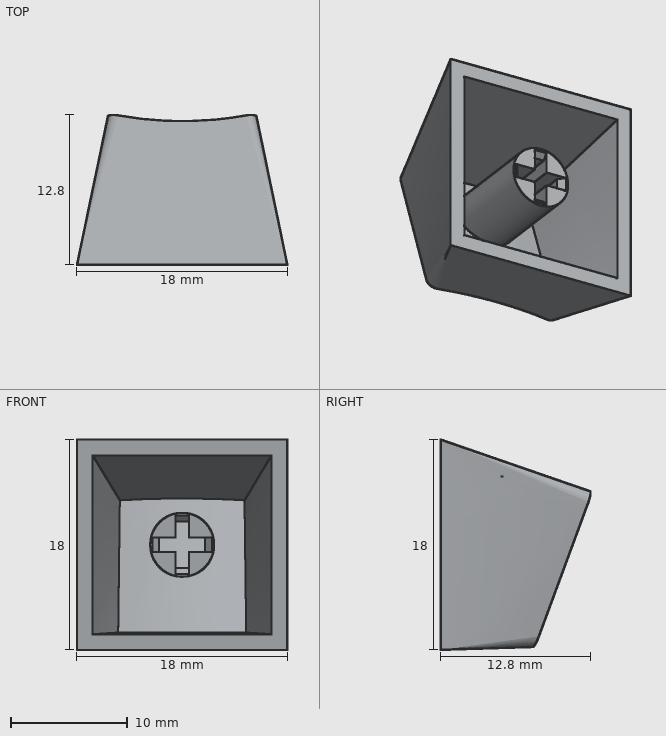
import cadquery as cq
import math


base_size = 18.0
roof_top_y, roof_top_z = 12.96, 4.52
roof_bottom_y, roof_bottom_z = 8.06, -8.75
roof_half_width = 6.37
corner_radius = 0.95
sharp_radius = 0.002
dish_radius = 28.8

rim_width = 1.35
roof_thickness = 1.25
cavity_top_z, cavity_bottom_z = 3.8, -7.5
cavity_top_half_width, cavity_bottom_half_width = 5.33, 5.47

stem_diameter = 5.47
slot_x_length, slot_x_width, slot_x_lead_in = 5.05, 1.22, 0.55
slot_z_length, slot_z_width, slot_z_lead_in = 4.99, 1.17, 0.5

roof_angle = math.atan2(roof_top_y - roof_bottom_y, roof_top_z - roof_bottom_z)
roof_direction = cq.Vector(0, math.sin(roof_angle), math.cos(roof_angle))
roof_normal = cq.Vector(0, math.cos(roof_angle), -math.sin(roof_angle))
roof_middle = cq.Vector(0, (roof_top_y + roof_bottom_y) / 2, (roof_top_z + roof_bottom_z) / 2)

dish_axis_height = math.sqrt(dish_radius**2 - roof_half_width**2)
dish_axis_point = roof_middle + roof_normal * dish_axis_height

cavity_dish_radius = dish_radius + roof_thickness
cavity_mean_half_width = (cavity_top_half_width + cavity_bottom_half_width) / 2
cavity_corner_height = dish_axis_height - math.sqrt(cavity_dish_radius**2 - cavity_mean_half_width**2)


def roof_y(z, height=0.0):
    """Y of the sloping roof plane, shifted by height along its normal."""
    return roof_bottom_y + (z - roof_bottom_z) * math.tan(roof_angle) + height / math.cos(roof_angle)


def outline(top_half_width, top_y, top_z, bottom_half_width, bottom_y, bottom_z):
    """Closed four-sided wire, symmetric about X = 0."""
    corners = [
        (-bottom_half_width, bottom_y, bottom_z),
        (bottom_half_width, bottom_y, bottom_z),
        (top_half_width, top_y, top_z),
        (-top_half_width, top_y, top_z),
    ]
    return cq.Wire.makePolygon([cq.Vector(*corner) for corner in corners], close=True)


def square_outline(size):
    """Square wire at the open end, Y = 0."""
    return outline(size / 2, 0, size / 2, size / 2, 0, -size / 2)


def rounded(wire, radius):
    return wire.fillet2D(radius, wire.Vertices())


def ruled_solid(first, second):
    return cq.Workplane(cq.Solid.makeLoft([first, second], True))


def dish_cylinder(radius):
    """Long cylinder about the dish axis."""
    length = 3 * base_size
    start = dish_axis_point - roof_direction * (length / 2)
    return cq.Workplane(cq.Solid.makeCylinder(radius, length, start, roof_direction))


def make_shell():
    roof = outline(roof_half_width, roof_top_y, roof_top_z, roof_half_width, roof_bottom_y, roof_bottom_z)
    body = ruled_solid(rounded(square_outline(base_size), sharp_radius), rounded(roof, corner_radius))
    return body.cut(dish_cylinder(dish_radius))


def make_cavity():
    roof = outline(
        cavity_top_half_width, roof_y(cavity_top_z, cavity_corner_height), cavity_top_z,
        cavity_bottom_half_width, roof_y(cavity_bottom_z, cavity_corner_height), cavity_bottom_z,
    )
    body = ruled_solid(square_outline(base_size - 2 * rim_width), roof)
    return body.cut(dish_cylinder(cavity_dish_radius))


def make_slot(length, width, lead_in):
    """Slot along X, open at Y = 0, with 45 degree lead-ins at its two ends."""
    mouth = length / 2
    throat = mouth - lead_in
    depth = roof_top_y
    profile = [(-mouth, 0), (mouth, 0), (throat, lead_in), (throat, depth), (-throat, depth), (-throat, lead_in)]
    return cq.Workplane("XY").polyline(profile).close().extrude(width / 2, both=True)


def make_stem():
    stem = cq.Workplane("XZ").circle(stem_diameter / 2).extrude(-roof_top_y)
    slot_x = make_slot(slot_x_length, slot_x_width, slot_x_lead_in)
    slot_z = make_slot(slot_z_length, slot_z_width, slot_z_lead_in).rotate((0, 0, 0), (0, 1, 0), 90)
    return stem.cut(slot_x).cut(slot_z)


result = make_shell().cut(make_cavity().cut(make_stem()))